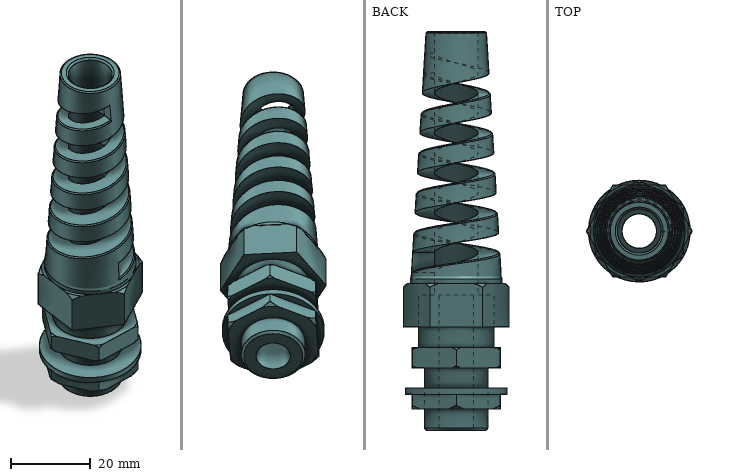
import cadquery as cq
import math

HEIGHT = 100.2

BODY_BORE_D = 8.6
LOWER_THREAD_D = 16.0
UPPER_THREAD_D = 19.0
END_CHAMFER = 0.6
BODY_HEX_FLATS = 22.1
BODY_HEX_BOTTOM = 15.7
BODY_HEX_TOP = 20.8
BODY_TOP = 34.1

FLANGE_D = 25.5
LOCKNUT_BOTTOM = 5.4
FLANGE_BOTTOM = 9.1
FLANGE_TOP = 10.7

CAP_HEX_FLATS = 23.0
CAP_BOTTOM = 26.0
CAP_HEX_TOP = 37.0
COLLAR_D = CAP_HEX_FLATS
COLLAR_TOP = 38.1
CONE_BOTTOM = 38.7
CONE_BOTTOM_D = 22.6
CONE_TOP_D = 15.2
TIP_CHAMFER = 0.35
CAP_BORE_D = 11.0
BORE_CHAMFER = 0.5

SLOT_PITCH = 10.0
SLOT_HEIGHT = 5.0
SLOT_TURNS = 5
SLOT_START_Z = 39.7
SLOT_DEPTH = 7.0
SLOT_OVERRUN = 1.0
COIL_CHAMFER = 0.3

CAP_HEX_FACE_R = 12.3
BODY_HEX_FACE_R = 12.2
LOCKNUT_FACE_R = 11.8
HEX_HALF_ANGLE = 30.0
CUTTER_D = 2 * FLANGE_D


def cylinder(diameter, bottom, top):
    return cq.Workplane("XY").workplane(offset=bottom).circle(diameter / 2).extrude(top - bottom)


def hexagon(flats, bottom, top, turn):
    corners = flats / math.cos(math.radians(HEX_HALF_ANGLE))
    prism = cq.Workplane("XY").workplane(offset=bottom).polygon(6, corners).extrude(top - bottom)
    return prism.rotate((0, 0, 0), (0, 0, 1), turn)


def corner_cone(face_r, face_z, direction):
    """Solid inside a 45 degree cone of radius face_r at face_z.

    direction is 1 for chamfering an upper face and -1 for a lower face.
    """
    outer = CUTTER_D / 2
    outer_z = face_z - direction * (outer - face_r)
    far_z = outer_z - direction * HEIGHT
    outline = [(0, face_z), (face_r, face_z), (outer, outer_z), (outer, far_z), (0, far_z)]
    return cq.Workplane("XZ").polyline(outline).close().revolve(360, (0, 0), (0, 1))


def make_body():
    lower = cylinder(LOWER_THREAD_D, 0, BODY_HEX_BOTTOM).faces("<Z").chamfer(END_CHAMFER)
    wrench_hex = hexagon(BODY_HEX_FLATS, BODY_HEX_BOTTOM, BODY_HEX_TOP, HEX_HALF_ANGLE)
    wrench_hex = wrench_hex.intersect(corner_cone(BODY_HEX_FACE_R, BODY_HEX_TOP, 1))
    wrench_hex = wrench_hex.intersect(corner_cone(BODY_HEX_FACE_R, BODY_HEX_BOTTOM, -1))
    upper = cylinder(UPPER_THREAD_D, BODY_HEX_TOP, BODY_TOP)
    return lower.union(wrench_hex).union(upper).cut(cylinder(BODY_BORE_D, 0, BODY_TOP))


def make_locknut():
    nut_hex = hexagon(BODY_HEX_FLATS, LOCKNUT_BOTTOM, FLANGE_BOTTOM, HEX_HALF_ANGLE)
    nut_hex = nut_hex.intersect(corner_cone(LOCKNUT_FACE_R, LOCKNUT_BOTTOM, -1))
    flange = cylinder(FLANGE_D, FLANGE_BOTTOM, FLANGE_TOP)
    return nut_hex.union(flange).cut(cylinder(LOWER_THREAD_D, LOCKNUT_BOTTOM, FLANGE_TOP))


def make_slot():
    """Helical cutter that follows the cone and flares to chamfer the outer coil edges."""
    taper = (CONE_BOTTOM_D - CONE_TOP_D) / 2 / (HEIGHT - TIP_CHAMFER - CONE_BOTTOM)
    slant = math.hypot(1, taper)
    start_r = CONE_BOTTOM_D / 2 - taper * (SLOT_START_Z - CONE_BOTTOM)
    helix = cq.Wire.makeHelix(
        SLOT_PITCH * slant,
        SLOT_PITCH * SLOT_TURNS * slant,
        start_r,
        angle=-math.degrees(math.atan(taper)),
    )
    inner_r = start_r - SLOT_DEPTH
    throat_r = start_r - COIL_CHAMFER
    mouth_r = start_r + SLOT_OVERRUN
    flare = COIL_CHAMFER + SLOT_OVERRUN
    outline = [
        (inner_r, 0),
        (throat_r, 0),
        (mouth_r, -flare),
        (mouth_r, SLOT_HEIGHT + flare),
        (throat_r, SLOT_HEIGHT),
        (inner_r, SLOT_HEIGHT),
    ]
    slot = cq.Workplane("XZ").polyline(outline).close().sweep(cq.Workplane(helix), isFrenet=True)
    return slot.translate((0, 0, SLOT_START_Z))


def make_strain_relief():
    """Solid collar and cone, bored and slotted into a spring."""
    outline = [
        (0, CAP_HEX_TOP),
        (COLLAR_D / 2, CAP_HEX_TOP),
        (COLLAR_D / 2, COLLAR_TOP),
        (CONE_BOTTOM_D / 2, CONE_BOTTOM),
        (CONE_TOP_D / 2, HEIGHT - TIP_CHAMFER),
        (CONE_TOP_D / 2 - TIP_CHAMFER, HEIGHT),
        (0, HEIGHT),
    ]
    cone = cq.Workplane("XZ").polyline(outline).close().revolve(360, (0, 0), (0, 1))
    cone = cone.cut(cylinder(CAP_BORE_D, CAP_HEX_TOP, HEIGHT))
    bore_rim = cone.faces(">Z").edges(cq.selectors.RadiusNthSelector(0))
    cone = bore_rim.chamfer(BORE_CHAMFER)
    return cone.cut(make_slot())


def make_cap():
    cap_hex = hexagon(CAP_HEX_FLATS, CAP_BOTTOM, CAP_HEX_TOP, 0)
    cap_hex = cap_hex.intersect(corner_cone(CAP_HEX_FACE_R, CAP_HEX_TOP, 1))
    cap_hex = cap_hex.cut(cylinder(CAP_BORE_D, CAP_BOTTOM, CAP_HEX_TOP))
    cap_hex = cap_hex.cut(cylinder(UPPER_THREAD_D, CAP_BOTTOM, BODY_TOP))
    return cap_hex.union(make_strain_relief())


body = make_body()
locknut = make_locknut()
cap = make_cap()

result = cq.Compound.makeCompound([body.val(), locknut.val(), cap.val()])